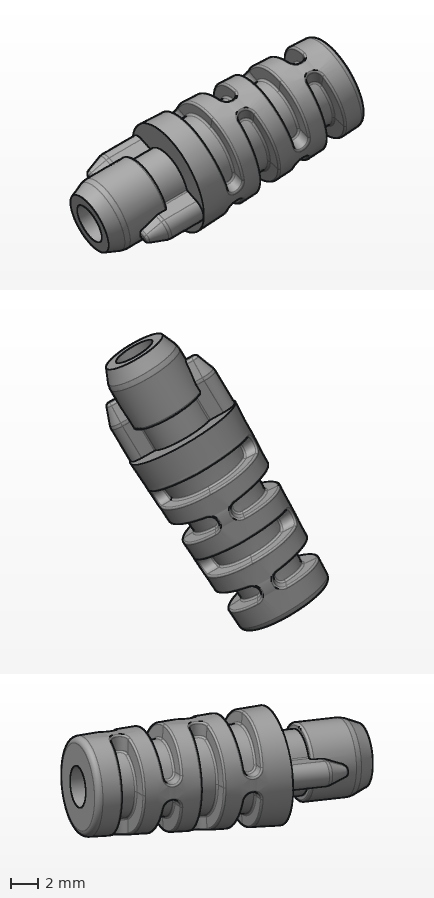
import cadquery as cq
import math

length = 22.25
bore_diameter = 3.1

grip_front_y = 7.1
grip_front_radius = 8.92 / 2
grip_rear_radius = 3.72
grip_rear_round = 0.5
face_tilt = 3

slot_count = 4
slot_first_y = 10.17
slot_pitch = 3.1
slot_end_radius = 1.18 / 2
slot_end_offset = 1.25
slot_side_angle = 4.5
slot_draft = 1
slot_floor_first_radius = 3.27
slot_floor_step = 0.22
slot_floor_round = 0.15
slot_rim_round = 0.15

neck_radius = 2.47
root_depth = 0.45
collar_radius = 5.9 / 2
collar_rear_y = 5.0
collar_rear_round = 0.2
nose_tip_radius = 2.4
nose_cone_y = 1.31
nose_round = 1.11

fin_radius = 0.95
fin_centre_x = 3.45
fin_tip_y = 2.45
fin_taper_y = 4.1
fin_taper_angle = 20
fin_shoulder_round = 0.75
fin_tip_round = 0.27
fin_root_round = 0.13

grip_slope = (grip_front_radius - grip_rear_radius) / (length - grip_front_y)
slot_last_y = slot_first_y + slot_pitch * (slot_count - 1)
neck_rear_y = grip_front_y + root_depth
reach = 2 * grip_front_radius
tolerance = 0.02


def turned(points):
    """Solid of revolution about Y from (radius, y) points."""
    return cq.Workplane("XY").polyline(points).close().revolve(360, (0, 0, 0), (0, 1, 0))


def edges_at(y):
    """Selector for the edges centred at one position along the axis."""
    return cq.selectors.BoxSelector((-reach, y - tolerance, -reach), (reach, y + tolerance, reach))


def make_grip():
    """Round taper whose front face is cut off at a slight tilt."""
    start_y = collar_rear_y
    start_radius = grip_front_radius + grip_slope * (grip_front_y - start_y)
    cone = turned([(0, start_y), (start_radius, start_y), (grip_rear_radius, length), (0, length)])
    cone = cone.faces(">Y").edges().fillet(grip_rear_round)
    front_cutter = (
        cq.Workplane("XY")
        .box(2 * reach, reach, 2 * reach)
        .translate((0, -reach / 2, 0))
        .rotate((0, 0, 0), (1, 0, 0), -face_tilt)
        .translate((0, grip_front_y, 0))
    )
    return cone.cut(front_cutter)


def slot_floor_core():
    """Cone on which the floors of all slots lie."""
    slope = slot_floor_step / slot_pitch
    front_radius = slot_floor_first_radius + slope * slot_first_y
    rear_radius = front_radius - slope * length
    return turned([(0, 0), (front_radius, 0), (rear_radius, length), (0, length)])


def slot_cutter(centre_y):
    """U-shaped cutter opening towards +Z, drafted to both sides of the YZ plane."""
    angle = math.radians(slot_side_angle)
    half_width = slot_end_radius * math.cos(angle)
    tangent_z = slot_end_offset - slot_end_radius * math.sin(angle)
    top_half_width = half_width + (reach - tangent_z) * math.tan(angle)
    halves = [
        cq.Workplane("YZ")
        .moveTo(centre_y - top_half_width, reach)
        .lineTo(centre_y - half_width, tangent_z)
        .threePointArc(
            (centre_y, slot_end_offset - slot_end_radius),
            (centre_y + half_width, tangent_z),
        )
        .lineTo(centre_y + top_half_width, reach)
        .close()
        .extrude(side * reach, taper=-slot_draft)
        for side in (1, -1)
    ]
    cutter = halves[0].union(halves[1]).cut(slot_floor_core())
    floor = cutter.faces(cq.selectors.NearestToPointSelector((0, centre_y, neck_radius)))
    return floor.edges().fillet(slot_floor_round)


def on_grip_surface(edge):
    """True for slot rim edges, which lie on the outer cone behind the front face."""
    point = edge.positionAt(0.5)
    surface_radius = grip_front_radius - grip_slope * (point.y - grip_front_y)
    in_slot_zone = slot_first_y - slot_pitch / 2 < point.y < slot_last_y + slot_pitch / 2
    return in_slot_zone and abs(math.hypot(point.x, point.z) - surface_radius) < tolerance


def make_slotted_grip():
    """Grip with opposite pairs of slots, each pair a quarter turn from the last."""
    grip = make_grip()
    for index in range(slot_count):
        cutter = slot_cutter(slot_first_y + index * slot_pitch)
        roll = 90 * (index % 2)
        for side in (0, 180):
            grip = grip.cut(cutter.rotate((0, 0, 0), (0, 1, 0), roll + side))
    rims = [edge for edge in grip.edges().vals() if on_grip_surface(edge)]
    return grip.newObject(rims).fillet(slot_rim_round)


def make_fins():
    """One flat bar across the axis with rounded sides; its tips taper towards the nose."""

    def bar(start_y, end_y, taper):
        plane = cq.Plane(origin=(0, start_y, 0), xDir=(1, 0, 0), normal=(0, -1, 0))
        return (
            cq.Workplane(plane)
            .slot2D(2 * (fin_centre_x + fin_radius), 2 * fin_radius)
            .extrude(start_y - end_y, taper=taper)
        )

    straight = bar(neck_rear_y, fin_taper_y, 0)
    tip = bar(fin_taper_y, fin_tip_y, fin_taper_angle)
    fins = tip.faces("<Y").edges().fillet(fin_tip_round).union(straight)
    return fins.edges(edges_at(fin_taper_y)).fillet(fin_shoulder_round)


def make_neck():
    neck = cq.Workplane("XZ", origin=(0, neck_rear_y, 0)).circle(neck_radius)
    return neck.extrude(neck_rear_y - nose_cone_y)


def make_collar():
    """Wider front barrel with a conical nose."""
    collar = turned([
        (0, 0),
        (nose_tip_radius, 0),
        (collar_radius, nose_cone_y),
        (collar_radius, collar_rear_y),
        (0, collar_rear_y),
    ])
    collar = collar.faces(">Y").edges().fillet(collar_rear_round)
    return collar.edges(edges_at(nose_cone_y)).fillet(nose_round)


def make_finned_neck():
    """Neck with the fins blended into it along their roots."""
    neck_and_fins = make_neck().union(make_fins())
    root_x = math.sqrt(neck_radius**2 - fin_radius**2)
    roots = [
        edge
        for edge in neck_and_fins.edges("|Y").vals()
        if abs(abs(edge.Center().x) - root_x) < tolerance
    ]
    return neck_and_fins.newObject(roots).fillet(fin_root_round)


result = make_slotted_grip().union(make_finned_neck()).union(make_collar())
bore = cq.Workplane("XZ").circle(bore_diameter / 2).extrude(-length)
result = result.cut(bore)